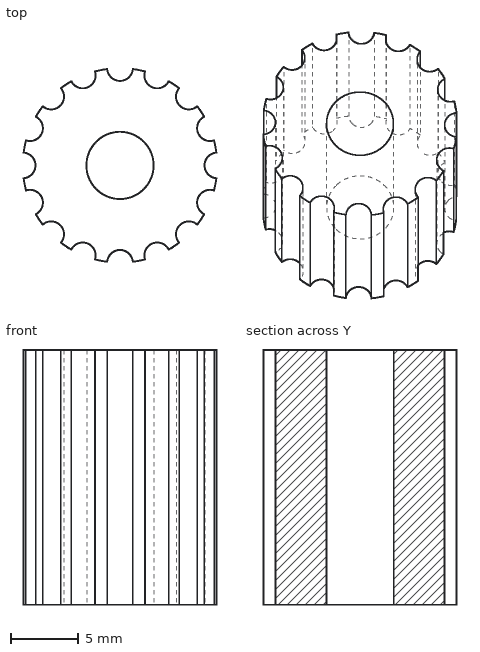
import cadquery as cq

length = 19.0
outer_radius = 7.25
bore_diameter = 5.0
groove_count = 16
groove_radius = 0.95

blank = cq.Workplane("XY").circle(outer_radius).extrude(length)

grooves = (
    cq.Workplane("XY")
    .polarArray(outer_radius, 0, 360, groove_count)
    .circle(groove_radius)
    .extrude(length)
)

bore = cq.Workplane("XY").circle(bore_diameter / 2).extrude(length)

result = blank.cut(grooves).cut(bore)